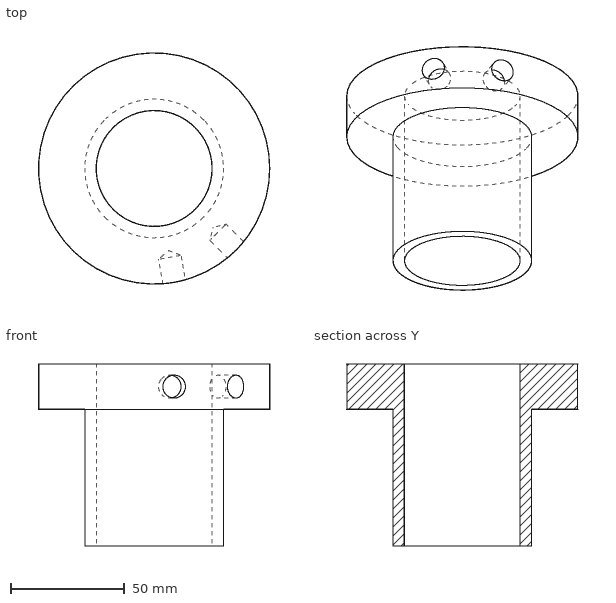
import cadquery as cq
import math

flange_diameter = 101.5
sleeve_diameter = 60.9
bore_diameter = 50.8
total_height = 80.0
flange_height = 20.0
sleeve_height = total_height - flange_height

hole_diameter = 10.0
hole_depth = 11.2
drill_tip_angle = 118.0
hole_angles = (-80.0, -45.0)


def ring(outer_diameter, height, base_z):
    """Plain ring around the common bore."""
    return (
        cq.Workplane("XY", origin=(0, 0, base_z))
        .circle(outer_diameter / 2)
        .circle(bore_diameter / 2)
        .extrude(height)
    )


def radial_drill(angle):
    """Drill-shaped cutter with a conical tip, pointing at the flange axis."""
    hole_radius = hole_diameter / 2
    rim_radius = flange_diameter / 2
    shoulder = rim_radius - hole_depth
    tip = shoulder - hole_radius / math.tan(math.radians(drill_tip_angle / 2))
    outer_end = rim_radius + hole_radius
    return (
        cq.Workplane("XY")
        .moveTo(tip, 0)
        .lineTo(shoulder, hole_radius)
        .lineTo(outer_end, hole_radius)
        .lineTo(outer_end, 0)
        .close()
        .revolve(360, (0, 0, 0), (1, 0, 0))
        .rotate((0, 0, 0), (0, 0, 1), angle)
        .translate((0, 0, sleeve_height + flange_height / 2))
    )


def make_flanged_sleeve():
    """Flange and sleeve in one piece, with the radial holes in the flange rim."""
    flange = ring(flange_diameter, flange_height, sleeve_height)
    sleeve = ring(sleeve_diameter, sleeve_height, 0)
    body = flange.union(sleeve)
    for angle in hole_angles:
        body = body.cut(radial_drill(angle))
    return body


flanged_sleeve = make_flanged_sleeve()

result = cq.Compound.makeCompound([flanged_sleeve.val()])